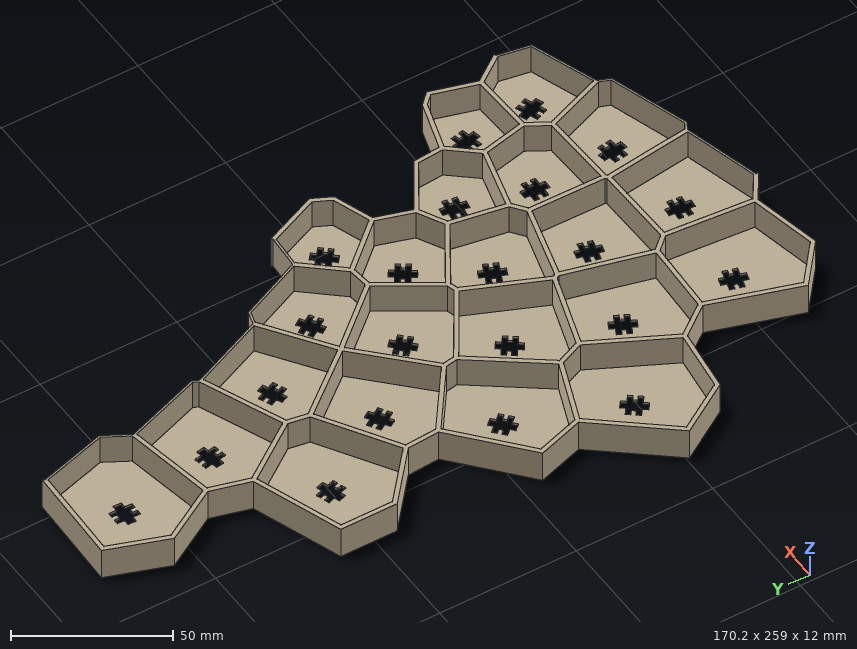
import cadquery as cq
import math

height = 12.0
floor_thickness = 1.0

wall_thickness = 1.6
half_wall = wall_thickness / 2

slot_length = 9.0
slot_width = 2.9
cross_slot_length = 8.2
cross_slot_inner = 0.8
cross_slot_outer = 2.5
core_width = 4.6

cells = [
    (-12.0, 109.4, -2),
    (-5.7, 74.0, 10),
    (-38.3, 50.7, 18),
    (7.2, 43.0, 24),
    (-19.8, 21.1, 32),
    (25.5, 17.1, 34),
    (3.1, -2.2, 46),
    (-42.4, -9.6, 42),
    (48.2, -2.3, 50),
    (29.3, -19.0, 56),
    (-14.8, -29.8, 54),
    (14.6, -42.4, 66),
    (-57.3, -48.2, 52),
    (44.6, -47.7, 80),
    (-25.9, -64.2, 64),
    (67.0, -66.4, 102),
    (6.4, -72.5, 76),
    (38.0, -72.9, 88),
    (68.0, -90.8, 112),
    (-27.7, -103.5, 74),
    (39.1, -102.1, 98),
    (7.2, -106.3, 84),
]
cell_centres = [(x, y) for x, y, turn in cells]

free_neighbours = [
    (-10.7, 147.7), (-56.8, 125.2), (-51.1, 86.5), (-85.9, 50.7),
    (-66.6, 17.9), (-87.2, -24.0), (-97.8, -73.7), (-62.8, -92.4),
    (-57.7, -140.1), (-18.9, -145.0),
    (69.1, 6.6), (74.0, -15.2), (57.3, -27.8), (73.4, -45.5),
    (86.2, -47.3), (91.7, -73.6),
]

mating_neighbours = [
    (28.5, 121.2), (28.7, 86.3), (36.3, 55.6), (50.1, 28.0),
    (98.9, -96.3), (77.2, -116.4), (48.9, -132.3), (16.9, -142.4),
]

cell_limit = 60.0


def cut_by_line(outline, point, normal):
    """Part of a convex outline on the side of a line that its normal points away from."""
    kept = []
    for (ax, ay), (bx, by) in zip(outline, outline[1:] + outline[:1]):
        a_out = (ax - point[0]) * normal[0] + (ay - point[1]) * normal[1]
        b_out = (bx - point[0]) * normal[0] + (by - point[1]) * normal[1]
        if a_out <= 0:
            kept.append((ax, ay))
        if a_out * b_out < 0:
            share = a_out / (a_out - b_out)
            kept.append((ax + share * (bx - ax), ay + share * (by - ay)))
    return kept


def cell_outline(centre, growth):
    """Outline around the points nearest to a centre, grown past the midway lines."""
    cx, cy = centre
    corners = [(-1, -1), (1, -1), (1, 1), (-1, 1)]
    outline = [(cx + sx * cell_limit, cy + sy * cell_limit) for sx, sy in corners]
    for ox, oy in cell_centres + free_neighbours + mating_neighbours:
        distance = math.hypot(ox - cx, oy - cy)
        if distance > 0:
            normal = ((ox - cx) / distance, (oy - cy) / distance)
            reach = distance / 2 + growth
            edge_point = (cx + reach * normal[0], cy + reach * normal[1])
            outline = cut_by_line(outline, edge_point, normal)
    return outline


def prism(outline, bottom, top):
    base = cq.Workplane("XY").workplane(offset=bottom).polyline(outline).close()
    return base.extrude(top - bottom).val()


def make_opening():
    """Connector opening, as a tool that reaches through the floor."""
    depth = 2 * floor_thickness
    cross_slot_width = cross_slot_outer - cross_slot_inner
    cross_slot_offset = (cross_slot_outer + cross_slot_inner) / 2
    opening = cq.Workplane("XY").box(slot_length, slot_width, depth)
    opening = opening.union(cq.Workplane("XY").box(2 * cross_slot_outer, core_width, depth))
    for side in (-1, 1):
        cross_slot = cq.Workplane("XY").box(cross_slot_width, cross_slot_length, depth)
        opening = opening.union(cross_slot.translate((side * cross_slot_offset, 0, 0)))
    return opening.clean()


def make_body():
    """Solid block under every cell and its walls, clear of the mating neighbours' cells."""
    blocks = [prism(cell_outline(c, half_wall), 0.0, height) for c in cell_centres]
    mating_blocks = [prism(cell_outline(c, 0.0), 0.0, height) for c in mating_neighbours]
    body = blocks[0].fuse(*blocks[1:]).cut(*mating_blocks).clean()
    return cq.Workplane(obj=body)


def make_pockets():
    outlines = [cell_outline(c, -half_wall) for c in cell_centres]
    return [prism(outline, floor_thickness, height) for outline in outlines]


def make_openings():
    opening = make_opening()
    placed = []
    for x, y, turn in cells:
        turned = opening.rotate((0, 0, 0), (0, 0, 1), turn)
        placed.append(turned.translate((x, y, floor_thickness / 2)).val())
    return placed


pockets = cq.Compound.makeCompound(make_pockets())
openings = cq.Compound.makeCompound(make_openings())
result = make_body().cut(cq.Workplane(obj=pockets)).cut(cq.Workplane(obj=openings))